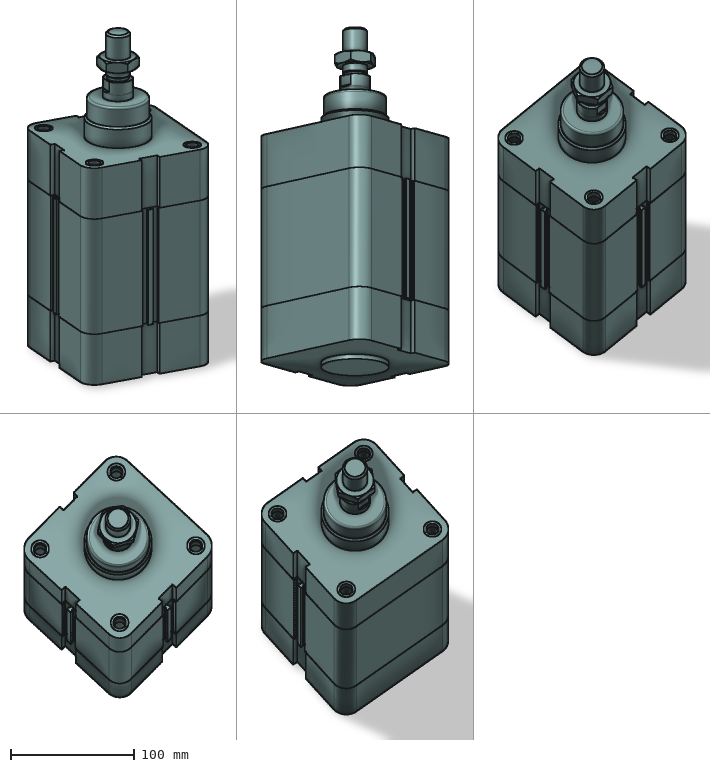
import cadquery as cq
import math

WIDTH = 115.5
CORNER_RADIUS = 13.0
CAP_HEIGHT = 44.1
BARREL_HEIGHT = 100.0

BOSS_DIAMETER = 55.0
REAR_BOSS_HEIGHT = 4.0
FRONT_BOSS_HEIGHT = 17.8
BOSS_CHAMFER = 1.7
COLLAR_DIAMETER = 51.0
COLLAR_HEIGHT = 17.0
COLLAR_FILLET = 2.0

HOLE_DIAMETER = 10.0
HOLE_DEPTH = 17.0
ENTRY_DIAMETER = 10.2
ENTRY_DEPTH = 5.5
DRILL_CONE_HEIGHT = 2.8
COUNTERBORE_DIAMETER = 14.5
COUNTERBORE_DEPTH = 0.3

GROOVE_WIDTH = 16.0
GROOVE_DEPTH = 4.2
LIP_HEIGHT = 2.3
LIP_GAP = 14.5
RIB_HEAD_WIDTH = 4.2
RIB_NECK_WIDTH = 2.8
GROOVE_ANGLES = (0, 90, 180)

ROD_DIAMETER = 25.0
FLATS_DIAMETER = 24.5
FLATS_ACROSS = 22.0
FLATS_HEIGHT = 8.8
ROD_SHOULDER_Z = 232.5
ROD_SHOULDER_HEIGHT = 0.5
ROD_TOP_Z = 243.0
RELIEF_DIAMETER = 18.5
RELIEF_HEIGHT = 2.5
THREAD_DIAMETER = 20.0
THREAD_RUNOUT = (THREAD_DIAMETER - RELIEF_DIAMETER) / 2
THREAD_END_Z = 283.0
THREAD_CHAMFER = 1.7

NUT_ACROSS_FLATS = 30.0
NUT_BOTTOM_Z = 252.5
NUT_HEIGHT = 9.3
NUT_CHAMFER_ANGLE = 30

REAR_CAP_Z = REAR_BOSS_HEIGHT
BARREL_Z = REAR_CAP_Z + CAP_HEIGHT
FRONT_CAP_Z = BARREL_Z + BARREL_HEIGHT
FRONT_FACE_Z = FRONT_CAP_Z + CAP_HEIGHT
COLLAR_Z = FRONT_FACE_Z + FRONT_BOSS_HEIGHT


def cylinder(diameter, height, z):
    """Upright cylinder on the main axis, standing on height z."""
    return cq.Workplane("XY", origin=(0, 0, z)).circle(diameter / 2).extrude(height)


def block(height, z):
    """Square block with rounded upright corners."""
    base = cq.Workplane("XY", origin=(0, 0, z)).rect(WIDTH, WIDTH).extrude(height)
    return base.edges("|Z").fillet(CORNER_RADIUS)


def side_bar(width, depth, height, z, recess=0):
    """Upright bar on the +X side, with its outer face set in from that side by recess."""
    bar = cq.Workplane("XY", origin=(WIDTH / 2 - recess - depth / 2, 0, z))
    return bar.rect(depth, width).extrude(height)


def cut_on_grooved_sides(body, cutter):
    """Cut a shape drawn on the +X side from the +X, -Y and -X sides."""
    for angle in GROOVE_ANGLES:
        body = body.cut(cutter.rotate((0, 0, 0), (0, 0, 1), -angle))
    return body


def make_cap(z):
    """Plain cap block with one open groove on each grooved side."""
    groove = side_bar(GROOVE_WIDTH, GROOVE_DEPTH, CAP_HEIGHT, z)
    return cut_on_grooved_sides(block(CAP_HEIGHT, z), groove)


def make_mounting_hole():
    """Cutter for one stepped drilled hole with a shallow counterbore, hanging down from z = 0."""
    radius = HOLE_DIAMETER / 2
    entry = ENTRY_DIAMETER / 2
    mouth = COUNTERBORE_DIAMETER / 2
    profile = (
        cq.Workplane("XZ")
        .polyline([
            (0, 0),
            (mouth, 0),
            (mouth, -COUNTERBORE_DEPTH),
            (entry, -COUNTERBORE_DEPTH),
            (entry, -ENTRY_DEPTH),
            (radius, -ENTRY_DEPTH),
            (radius, -HOLE_DEPTH),
            (0, -HOLE_DEPTH - DRILL_CONE_HEIGHT),
        ])
        .close()
    )
    return profile.revolve(360, (0, 0, 0), (0, 1, 0))


def make_rear_cap():
    return make_cap(REAR_CAP_Z).union(cylinder(BOSS_DIAMETER, REAR_BOSS_HEIGHT, 0))


def make_front_cap():
    """Cap with stepped boss, rod bore and four mounting holes concentric with the corners."""
    boss = cylinder(BOSS_DIAMETER, FRONT_BOSS_HEIGHT, FRONT_FACE_Z).faces(">Z").chamfer(BOSS_CHAMFER)
    collar = cylinder(COLLAR_DIAMETER, COLLAR_HEIGHT, COLLAR_Z).faces(">Z").fillet(COLLAR_FILLET)
    cap = make_cap(FRONT_CAP_Z).union(boss).union(collar)
    cap = cap.cut(cylinder(ROD_DIAMETER, COLLAR_Z + COLLAR_HEIGHT - FRONT_CAP_Z, FRONT_CAP_Z))
    hole = make_mounting_hole()
    offset = WIDTH / 2 - CORNER_RADIUS
    for x in (-offset, offset):
        for y in (-offset, offset):
            cap = cap.cut(hole.translate((x, y, FRONT_FACE_Z)))
    return cap


def make_barrel():
    """Block whose grooves hold a T-shaped rib between two overhanging lips."""
    mouth = side_bar(LIP_GAP, LIP_HEIGHT, BARREL_HEIGHT, BARREL_Z)
    chamber = side_bar(GROOVE_WIDTH, GROOVE_DEPTH - LIP_HEIGHT, BARREL_HEIGHT, BARREL_Z, LIP_HEIGHT)
    rib_head = side_bar(RIB_HEAD_WIDTH, LIP_HEIGHT, BARREL_HEIGHT, BARREL_Z)
    rib_neck = side_bar(RIB_NECK_WIDTH, GROOVE_DEPTH, BARREL_HEIGHT, BARREL_Z)
    groove = mouth.union(chamber).cut(rib_head).cut(rib_neck)
    return cut_on_grooved_sides(block(BARREL_HEIGHT, BARREL_Z), groove)


def make_flat_cutter():
    """Cutter for the wrench flat on the -Y side; its lower end slopes outward at 45 degrees."""
    flat = FLATS_ACROSS / 2
    outside = ROD_DIAMETER
    bottom = ROD_TOP_Z - FLATS_HEIGHT
    profile = (
        cq.Workplane("YZ")
        .polyline([
            (-flat, ROD_TOP_Z),
            (-flat, bottom),
            (-outside, bottom - (outside - flat)),
            (-outside, ROD_TOP_Z),
        ])
        .close()
    )
    return profile.extrude(ROD_DIAMETER, both=True)


def make_rod():
    """Rod standing on the barrel, with a flatted neck, an undercut and a threaded end."""
    rod_radius = ROD_DIAMETER / 2
    neck_radius = FLATS_DIAMETER / 2
    relief_radius = RELIEF_DIAMETER / 2
    thread_radius = THREAD_DIAMETER / 2
    relief_top = ROD_TOP_Z + RELIEF_HEIGHT
    rod = (
        cq.Workplane("XZ")
        .polyline([
            (0, FRONT_CAP_Z),
            (rod_radius, FRONT_CAP_Z),
            (rod_radius, ROD_SHOULDER_Z),
            (neck_radius, ROD_SHOULDER_Z + ROD_SHOULDER_HEIGHT),
            (neck_radius, ROD_TOP_Z),
            (relief_radius, ROD_TOP_Z),
            (relief_radius, relief_top),
            (thread_radius, relief_top + THREAD_RUNOUT),
            (thread_radius, THREAD_END_Z - THREAD_CHAMFER),
            (thread_radius - THREAD_CHAMFER, THREAD_END_Z),
            (0, THREAD_END_Z),
        ])
        .close()
        .revolve(360, (0, 0, 0), (0, 1, 0))
    )
    flat_cutter = make_flat_cutter()
    return rod.cut(flat_cutter).cut(flat_cutter.mirror("XZ"))


def make_nut():
    """Hexagon nut with corners along X, its corners turned down at both ends."""
    corner_radius = NUT_ACROSS_FLATS / math.sqrt(3)
    flat_radius = NUT_ACROSS_FLATS / 2
    corner_drop = (corner_radius - flat_radius) * math.tan(math.radians(NUT_CHAMFER_ANGLE))
    nut = (
        cq.Workplane("XY", origin=(0, 0, NUT_BOTTOM_Z))
        .polygon(6, 2 * corner_radius)
        .circle(THREAD_DIAMETER / 2)
        .extrude(NUT_HEIGHT)
    )
    turned = cylinder(2 * corner_radius, NUT_HEIGHT, NUT_BOTTOM_Z)
    turned = turned.faces("<Z or >Z").edges().chamfer(corner_drop, corner_radius - flat_radius)
    return nut.intersect(turned)


rear_cap = make_rear_cap()
barrel = make_barrel()
front_cap = make_front_cap()
rod = make_rod()
lock_nut = make_nut()

result = cq.Compound.makeCompound([
    rear_cap.val(),
    barrel.val(),
    front_cap.val(),
    rod.val(),
    lock_nut.val(),
])